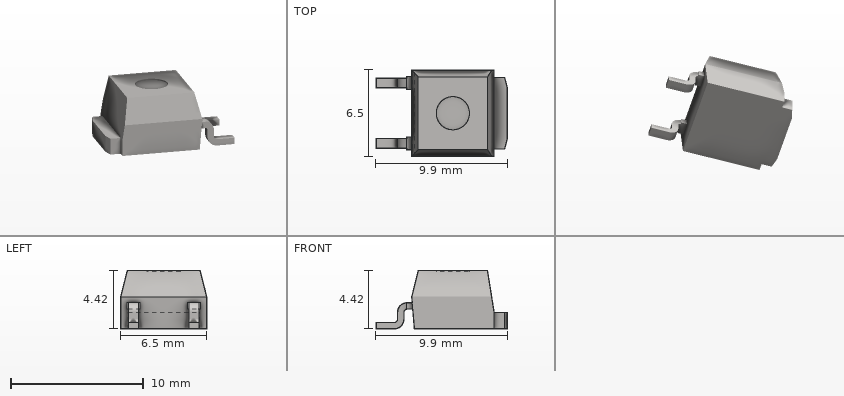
import cadquery as cq

body_width = 6.5
body_height = 4.42
parting_height = 2.42
base_left = 2.88
parting_left = 2.68
top_left = 3.18
top_right = 8.41
base_right = 8.91
top_width = 5.49

recess_diameter = 2.5
recess_depth = 0.1

overall_length = 9.9
tab_height = 1.26
tab_width = 5.41
tab_end_width = 3.83
tab_corner_length = 0.2
tab_overlap = 0.99

lead_pitch = 4.55
lead_width = 0.74
shoulder_width = 0.99
lead_thickness = 0.495
lead_top = 1.99
riser_left = 1.61
inner_radius = 0.25
outer_radius = inner_radius + lead_thickness
shoulder_left = 2.31
lead_end = 2.97


def make_body():
    """Prism with a tapered side profile, its upper half drafted across the width."""
    side_profile = (
        cq.Workplane("XZ")
        .moveTo(base_left, 0)
        .lineTo(base_right, 0)
        .lineTo(base_right, tab_height)
        .lineTo(top_right, body_height)
        .lineTo(top_left, body_height)
        .lineTo(parting_left, parting_height)
        .close()
        .extrude(body_width / 2, both=True)
    )
    half_width = body_width / 2
    half_top = top_width / 2
    end_profile = (
        cq.Workplane("YZ")
        .moveTo(-half_width, 0)
        .lineTo(half_width, 0)
        .lineTo(half_width, parting_height)
        .lineTo(half_top, body_height)
        .lineTo(-half_top, body_height)
        .lineTo(-half_width, parting_height)
        .close()
        .extrude(overall_length)
    )
    return side_profile.intersect(end_profile)


def make_recess():
    return (
        cq.Workplane("XY", origin=((top_left + top_right) / 2, 0, body_height - recess_depth))
        .circle(recess_diameter / 2)
        .extrude(recess_depth)
    )


def make_tab():
    """Plate with its two outer corners cut at an angle."""
    tab_start = base_right - tab_overlap
    corner_x = overall_length - tab_corner_length
    return (
        cq.Workplane("XY")
        .moveTo(tab_start, -tab_width / 2)
        .lineTo(corner_x, -tab_width / 2)
        .lineTo(overall_length, -tab_end_width / 2)
        .lineTo(overall_length, tab_end_width / 2)
        .lineTo(corner_x, tab_width / 2)
        .lineTo(tab_start, tab_width / 2)
        .close()
        .extrude(tab_height)
    )


def make_lead(y):
    """S-bent strip with a wider shoulder where it enters the body."""
    foot_end = riser_left - inner_radius
    bend_end = riser_left + outer_radius
    riser_right = riser_left + lead_thickness
    lead_underside = lead_top - lead_thickness
    strip = (
        cq.Workplane("XZ", origin=(0, y, 0))
        .moveTo(0, 0)
        .lineTo(foot_end, 0)
        .radiusArc((riser_right, outer_radius), -outer_radius)
        .lineTo(riser_right, lead_underside - inner_radius)
        .radiusArc((bend_end, lead_underside), inner_radius)
        .lineTo(bend_end, lead_top)
        .radiusArc((riser_left, lead_top - outer_radius), -outer_radius)
        .lineTo(riser_left, outer_radius)
        .radiusArc((foot_end, lead_thickness), inner_radius)
        .lineTo(0, lead_thickness)
        .close()
        .extrude(lead_width / 2, both=True)
    )
    shoulder = cq.Workplane("XY", origin=(shoulder_left, y, lead_underside)).box(
        lead_end - shoulder_left, shoulder_width, lead_thickness, centered=(False, True, False)
    )
    return strip.union(shoulder)


result = make_body().cut(make_recess()).union(make_tab())
for side in (-1, 1):
    result = result.union(make_lead(side * lead_pitch / 2))